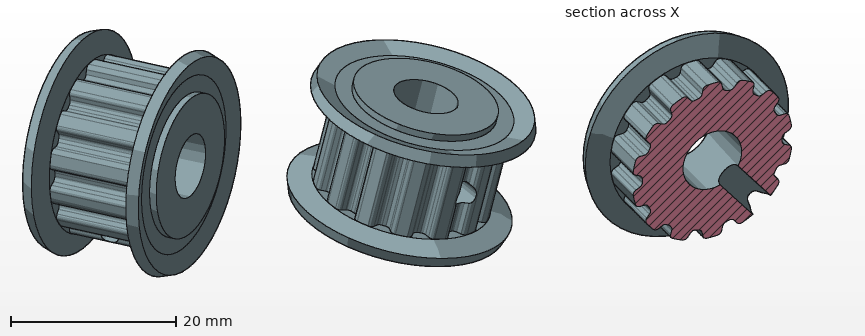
import cadquery as cq
import math


hub_length = 16.0
bore_diameter = 8.0
boss_diameter = 18.0
toothed_length = 10.95

tooth_count = 14
tip_radius = 11.05
groove_depth = 1.4
groove_floor_width = 1.25
flank_angle = 25.0
root_fillet = 0.62
tip_fillet = 0.65

screw_diameter = 3.1
screw_groove = 2

flange_diameter = 28.0
flange_thickness = 1.62
cone_lean = 18.3
bend_radius = 11.12

tooth_pitch = 360.0 / tooth_count
groove_floor_radius = tip_radius - groove_depth


def make_groove_cutter():
    """Prism along X that cuts the groove on the -Y side, reaching past the tooth tips."""
    reach = 2 * groove_depth
    floor_half = groove_floor_width / 2
    mouth_half = floor_half + reach * math.tan(math.radians(flank_angle))
    outline = [
        (-groove_floor_radius, -floor_half),
        (-groove_floor_radius, floor_half),
        (-groove_floor_radius - reach, mouth_half),
        (-groove_floor_radius - reach, -mouth_half),
    ]
    cutter = cq.Workplane("YZ").polyline(outline).close().extrude(toothed_length / 2, both=True)
    return cutter.edges("|X and >Y").fillet(root_fillet)


def is_tip_edge(edge):
    """True for an edge that lies on the tip cylinder."""
    center = edge.Center()
    return math.isclose(math.hypot(center.y, center.z), tip_radius, rel_tol=1e-4)


def make_toothed_rim():
    rim = cq.Workplane("YZ").circle(tip_radius).extrude(toothed_length / 2, both=True)
    cutter = make_groove_cutter()
    for index in range(tooth_count):
        rim = rim.cut(cutter.rotate((0, 0, 0), (1, 0, 0), index * tooth_pitch))
    tip_edges = rim.edges("|X").filter(is_tip_edge)
    return tip_edges.fillet(tip_fillet)


def make_screw_hole():
    """Radial cylinder from the axis out through the floor of the set screw groove."""
    hole = cq.Workplane("XZ").circle(screw_diameter / 2).extrude(tip_radius)
    return hole.rotate((0, 0, 0), (1, 0, 0), screw_groove * tooth_pitch)


def make_hub():
    boss = cq.Workplane("YZ").circle(boss_diameter / 2).extrude(hub_length / 2, both=True)
    bore = cq.Workplane("YZ").circle(bore_diameter / 2).extrude(hub_length / 2, both=True)
    return make_toothed_rim().union(boss).cut(bore).cut(make_screw_hole())


def make_flange(side):
    """Flange on the +X (side = 1) or -X (side = -1) end of the toothed rim."""
    lean = math.radians(cone_lean)
    web_inner = toothed_length / 2
    web_outer = web_inner + flange_thickness
    flange_radius = flange_diameter / 2
    edge_inner = web_inner + (flange_radius - bend_radius) * math.tan(lean)
    cone_thickness = flange_thickness * math.cos(lean)
    edge_outer = edge_inner + cone_thickness * math.cos(lean)
    edge_outer_radius = flange_radius - cone_thickness * math.sin(lean)
    section = [
        (side * web_inner, boss_diameter / 2),
        (side * web_inner, bend_radius),
        (side * edge_inner, flange_radius),
        (side * edge_outer, edge_outer_radius),
        (side * web_outer, bend_radius),
        (side * web_outer, boss_diameter / 2),
    ]
    return cq.Workplane("XY").polyline(section).close().revolve(360, (0, 0, 0), (1, 0, 0))


hub = make_hub()
flanges = [make_flange(side) for side in (-1, 1)]

result = cq.Compound.makeCompound([hub.val(), *[flange.val() for flange in flanges]])